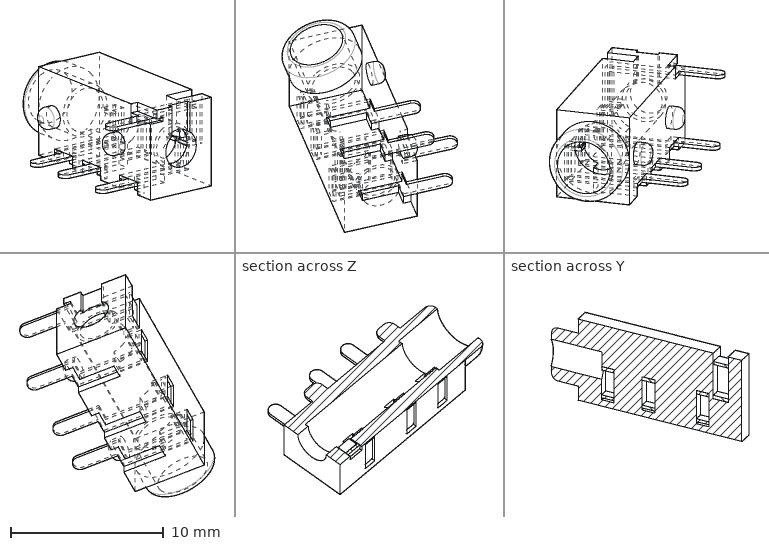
import cadquery as cq

LENGTH = 14.1
WIDTH = 5.0
HEIGHT = 6.1
TINE_LENGTH = 2.99
FRONT = -WIDTH / 2
BACK = WIDTH / 2
TOP = HEIGHT / 2
BOTTOM = -HEIGHT / 2

COLLAR_LENGTH = 2.0
COLLAR_RADIUS = WIDTH / 2
COLLAR_FILLET = 0.5
MOUTH_RADIUS = 1.8
BORE_RADIUS = 1.5
REAR_HOLE_RADIUS = 1.25
REAR_WALL = 1.0
REAR_SLOT_WIDTH = 1.5
REAR_SLOT_DEPTH = 0.31

POST_RADIUS = 0.75
POST_LENGTH = 1.0
POST_FILLET = 0.5
FIRST_POST_X = 3.61
POST_SPACING = 7.0

SHEET = 0.25
TINE_WIDTH = 1.0
NOTCH_HEIGHT = 0.87
NOTCH_DEPTH = 0.52
BACK_GAP = 0.18
TIP_TOP = -0.1
TIP_BOTTOM = TIP_TOP - SHEET
TIP_END = 1.35

LOWER_TINE_CENTRES = [5.19, 8.19, 12.2]
LOWER_SHOULDER = 0.95
LOWER_STRIP_WIDTH = 0.9
LOWER_CAVITY_DEPTH = 2.0
CAVITY_FLOOR_THICKNESS = 0.51

UPPER_NOTCH_X = 12.0
UPPER_TINE_CENTRE = 13.3
UPPER_STRIP_WIDTH = 1.09
UPPER_PLATE_DEPTH = 1.0
UPPER_POCKET_DEPTH = 2.12


def block(x_range, y_range, z_range):
    """Box between two limits along each axis."""
    size = [end - start for start, end in (x_range, y_range, z_range)]
    return cq.Workplane("XY").box(*size, centered=False).translate((x_range[0], y_range[0], z_range[0]))


def rod(radius, start, end):
    """Cylinder along the jack axis between two X positions."""
    return cq.Workplane("YZ").workplane(offset=start).circle(radius).extrude(end - start)


def post(x):
    """Locating post with a rounded end, standing on the front face."""
    stud = cq.Workplane("XZ").workplane(offset=-FRONT).center(x, 0).circle(POST_RADIUS).extrude(POST_LENGTH)
    return stud.faces("<Y").edges().fillet(POST_FILLET)


def lower_notch_left(tine_centre):
    """X position where the notch of a lower contact begins."""
    return tine_centre - TINE_WIDTH / 2 - LOWER_SHOULDER


def bore():
    """Mouth up to the first lower contact, main bore and rear hole, along the jack axis."""
    mouth = rod(MOUTH_RADIUS, 0, lower_notch_left(LOWER_TINE_CENTRES[0]))
    main = rod(BORE_RADIUS, 0, LENGTH - REAR_WALL)
    return mouth.union(main).union(rod(REAR_HOLE_RADIUS, 0, LENGTH))


def rear_slot():
    """Slot in the rear face, from the rear hole up through the top."""
    half = REAR_SLOT_WIDTH / 2
    return block((LENGTH - REAR_SLOT_DEPTH, LENGTH), (-half, half), (0, TOP))


def lower_contact_space(tine_centre):
    """Front notch, relief under the strip and spring cavity for one lower contact."""
    right = tine_centre + TINE_WIDTH / 2
    left = lower_notch_left(tine_centre)
    strip = (left, left + LOWER_STRIP_WIDTH)
    cavity_front = BACK - LOWER_CAVITY_DEPTH
    ceiling = BOTTOM + NOTCH_HEIGHT
    notch = block((left, right), (FRONT, FRONT + NOTCH_DEPTH), (BOTTOM, ceiling))
    relief = block(strip, (FRONT, cavity_front), (BOTTOM, ceiling))
    cavity = block(strip, (cavity_front, BACK), (BOTTOM + CAVITY_FLOOR_THICKNESS, TIP_TOP))
    return notch.union(relief).union(cavity)


def upper_contact_space():
    """Front notch, sheet slots and open back pocket for the upper contact."""
    floor = TOP - NOTCH_HEIGHT
    sheet = (floor, floor + SHEET)
    strip = (UPPER_NOTCH_X, UPPER_NOTCH_X + UPPER_STRIP_WIDTH)
    pocket_front = BACK - UPPER_POCKET_DEPTH
    notch = block((UPPER_NOTCH_X, LENGTH), (FRONT, FRONT + NOTCH_DEPTH), (floor, TOP))
    plate_slot = block((UPPER_NOTCH_X, LENGTH), (FRONT, FRONT + UPPER_PLATE_DEPTH), sheet)
    strip_slot = block(strip, (FRONT, pocket_front), sheet)
    pocket = block(strip, (pocket_front, BACK), (TIP_BOTTOM, TOP))
    return notch.union(plate_slot).union(strip_slot).union(pocket)


def make_housing():
    body = block((COLLAR_LENGTH, LENGTH), (FRONT, BACK), (BOTTOM, TOP))
    collar = rod(COLLAR_RADIUS, 0, COLLAR_LENGTH).faces("<X").edges().fillet(COLLAR_FILLET)
    shell = body.union(collar)
    for x in (FIRST_POST_X, FIRST_POST_X + POST_SPACING):
        shell = shell.union(post(x))
    shell = shell.cut(bore()).cut(rear_slot()).cut(upper_contact_space())
    for tine_centre in LOWER_TINE_CENTRES:
        shell = shell.cut(lower_contact_space(tine_centre))
    return shell


def make_contact(left, tine_centre, strip_width, plate_depth, sheet_bottom):
    """Round-ended tine, plate and strip in one sheet, with a riser and spring tip at the back."""
    sheet = (sheet_bottom, sheet_bottom + SHEET)
    tine_left = tine_centre - TINE_WIDTH / 2
    tine_right = tine_centre + TINE_WIDTH / 2
    strip = (left, left + strip_width)
    riser_back = BACK - BACK_GAP
    riser_heights = (min(sheet_bottom, TIP_BOTTOM), max(sheet_bottom + SHEET, TIP_TOP))

    end_centre = FRONT - TINE_LENGTH + TINE_WIDTH / 2
    tine = block((tine_left, tine_right), (end_centre, FRONT), sheet)
    round_end = cq.Workplane("XY").workplane(offset=sheet_bottom).center(tine_centre, end_centre)
    tine = tine.union(round_end.circle(TINE_WIDTH / 2).extrude(SHEET))
    plate = block((left, tine_right), (FRONT, FRONT + plate_depth), sheet)
    arm = block(strip, (FRONT, riser_back), sheet)
    riser = block(strip, (riser_back - SHEET, riser_back), riser_heights)
    tip = block(strip, (TIP_END, riser_back), (TIP_BOTTOM, TIP_TOP))
    return tine.union(plate).union(arm).union(riser).union(tip)


def make_lower_contact(tine_centre):
    left = lower_notch_left(tine_centre)
    return make_contact(left, tine_centre, LOWER_STRIP_WIDTH, NOTCH_DEPTH, BOTTOM + NOTCH_HEIGHT - SHEET)


def make_upper_contact():
    return make_contact(
        UPPER_NOTCH_X, UPPER_TINE_CENTRE, UPPER_STRIP_WIDTH, UPPER_PLATE_DEPTH, TOP - NOTCH_HEIGHT
    )


housing = make_housing()
upper_contact = make_upper_contact()
lower_contacts = [make_lower_contact(tine_centre) for tine_centre in LOWER_TINE_CENTRES]

result = cq.Compound.makeCompound(
    [housing.val(), upper_contact.val(), *[contact.val() for contact in lower_contacts]]
)